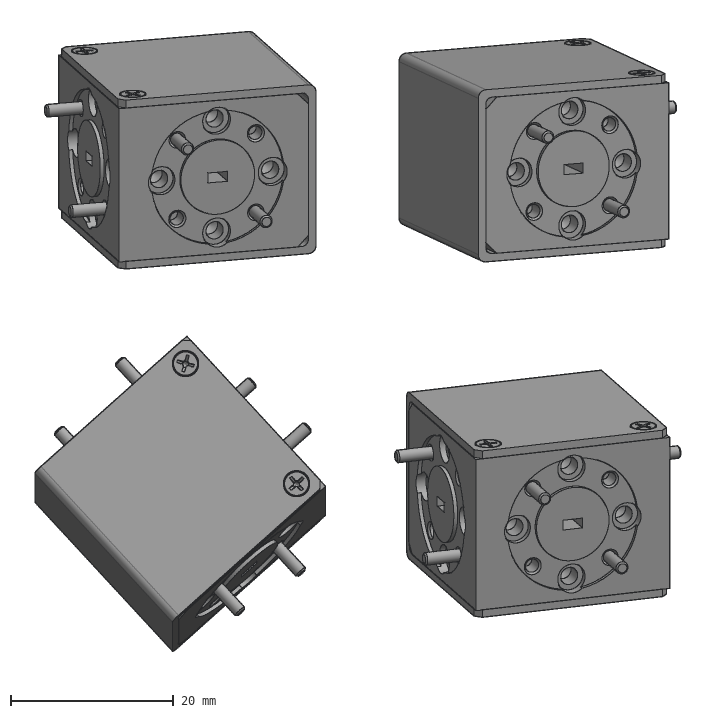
import cadquery as cq
import math

port_distance = 12.7
pin_tip_distance = 16.7
total_height = 21.6

sheet = 1.0
bracket_inset = 0.1
bend_outer_radius = 1.0
bend_inner_radius = 0.85
bracket_corner_chamfer = 0.8

block_height = total_height - 2 * sheet
block_back = port_distance - sheet
block_back_chamfer = 1.4

recess_diameter = 17.1
boss_diameter = 9.5
recess_depth = 0.5
hole_circle_radius = 7.15
counterbore_diameter = 3.57
counterbore_depth = 1.3
bolt_hole_diameter = 2.2
bolt_hole_depth = 3.67
drill_point_angle = 118.0
waveguide_width = 2.55
waveguide_height = 1.27
waveguide_depth = 6.68

pin_diameter = 1.57
pin_tip_chamfer = 0.2
pin_countersink_diameter = 2.1
dowel_hole_diameter = 1.7
dowel_countersink_diameter = 2.2
dowel_hole_depth = 2.67

screw_offset = 10.15
screw_seat_diameter = 3.25
screw_head_diameter = 2.97
screw_gap_depth = 0.35
cross_span = 2.15
cross_width = 0.35
cross_depth = 0.85
cross_core_diameter = 0.75
screw_angles = {-1: 0.0, 1: 32.0}

PORT_TURNS = (0, -90, 90)
recess_floor = recess_depth - port_distance


def port_plane(y):
    """Plane parallel to the -Y port: local x is X, local y is Z, normal is -Y."""
    return cq.Workplane("XZ", origin=(0, y, 0))


def bore(points, diameter, start_y, depth):
    """Cylinders running from start_y into the block."""
    return port_plane(start_y).pushPoints(points).circle(diameter / 2).extrude(-depth)


def inward_cone(point, mouth_diameter, end_diameter, start_y, depth):
    """Cone that narrows from start_y into the block."""
    mouth_center = cq.Vector(point[0], start_y, point[1])
    cone = cq.Solid.makeCone(mouth_diameter / 2, end_diameter / 2, depth, mouth_center, cq.Vector(0, 1, 0))
    return cq.Workplane(cone)


def drill_point(point, diameter, start_y):
    """Conical end of a drilled hole."""
    depth = diameter / 2 / math.tan(math.radians(drill_point_angle / 2))
    return inward_cone(point, diameter, 0, start_y, depth)


def countersink(point, mouth_diameter, hole_diameter):
    """45 degree countersink in the recess floor."""
    depth = (mouth_diameter - hole_diameter) / 2
    return inward_cone(point, mouth_diameter, hole_diameter, recess_floor, depth)


def turned(shape, angle):
    return shape.rotate((0, 0, 0), (0, 0, 1), angle)


diagonal = hole_circle_radius / math.sqrt(2)
bolt_points = [
    (hole_circle_radius, 0),
    (0, hole_circle_radius),
    (-hole_circle_radius, 0),
    (0, -hole_circle_radius),
]
pin_points = [(-diagonal, diagonal), (diagonal, -diagonal)]
dowel_points = [(diagonal, diagonal), (-diagonal, -diagonal)]


def make_block():
    depth = port_distance + block_back
    block = cq.Workplane("XY").box(2 * port_distance, depth, block_height)
    block = block.translate((0, (block_back - port_distance) / 2, 0))
    return block.faces(">Y").edges("|X").chamfer(block_back_chamfer)


def make_bracket():
    width = 2 * (port_distance - bracket_inset)
    length = 2 * port_distance - bracket_inset
    outer = cq.Workplane("XY").box(width, length, total_height)
    outer = outer.translate((0, bracket_inset / 2, 0))
    outer = outer.edges("|Z and <Y").chamfer(bracket_corner_chamfer)
    outer = outer.faces(">Y").edges("|X").fillet(bend_outer_radius)
    opening = cq.Workplane("XY").box(width, 2 * port_distance, block_height)
    opening = opening.faces(">Y").edges("|X").fillet(bend_inner_radius)
    return outer.cut(opening.translate((0, -sheet, 0)))


def make_port_cut():
    """Everything removed from the block at one port."""
    face = port_plane(-port_distance)
    cut = face.circle(recess_diameter / 2).circle(boss_diameter / 2).extrude(-recess_depth)
    cut = cut.union(bore(bolt_points, counterbore_diameter, -port_distance, counterbore_depth))
    cut = cut.union(bore(bolt_points, bolt_hole_diameter, -port_distance, bolt_hole_depth))
    cut = cut.union(bore(dowel_points, dowel_hole_diameter, recess_floor, dowel_hole_depth))
    for point in bolt_points:
        cut = cut.union(drill_point(point, bolt_hole_diameter, bolt_hole_depth - port_distance))
    for point in dowel_points:
        cut = cut.union(countersink(point, dowel_countersink_diameter, dowel_hole_diameter))
    for point in pin_points:
        cut = cut.union(countersink(point, pin_countersink_diameter, pin_diameter))
    waveguide = face.rect(waveguide_width, waveguide_height).extrude(-waveguide_depth)
    return cut.union(waveguide)


def make_pins():
    """The two dowel pins of one port, rooted just below the countersinks."""
    root = recess_floor + pin_countersink_diameter - pin_diameter
    pins = bore(pin_points, pin_diameter, -pin_tip_distance, root + pin_tip_distance)
    return pins.faces("<Y").edges().chamfer(pin_tip_chamfer)


def make_screw_cut(side):
    """Gap around one flush screw head and its cross recess."""
    head_top = total_height / 2
    top = cq.Workplane("XY", origin=(0, 0, head_top))
    gap = top.circle(screw_seat_diameter / 2).circle(screw_head_diameter / 2).extrude(-screw_gap_depth)
    core_radius = cross_core_diameter / 2

    slot_bottom = head_top - cross_depth
    slot_outline = [
        (-cross_span / 2, head_top),
        (cross_span / 2, head_top),
        (core_radius, slot_bottom),
        (-core_radius, slot_bottom),
    ]
    slot = cq.Workplane("XZ").polyline(slot_outline).close().extrude(cross_width / 2, both=True)
    slots = slot.union(turned(slot, 90))

    core = top.circle(core_radius).extrude(-cross_depth)
    tip = cq.Solid.makeCone(core_radius, 0, core_radius, cq.Vector(0, 0, slot_bottom), cq.Vector(0, 0, -1))
    cross = turned(slots, screw_angles[side]).union(core).union(cq.Workplane(tip))
    return gap.union(cross).translate((side * screw_offset, -screw_offset, 0))


result = make_block().union(make_bracket())
port_cut = make_port_cut()
pins = make_pins()
for turn in PORT_TURNS:
    result = result.cut(turned(port_cut, turn))
    result = result.union(turned(pins, turn))

pointed_hole_end = drill_point(dowel_points[0], dowel_hole_diameter, recess_floor + dowel_hole_depth)
result = result.cut(turned(pointed_hole_end, -90))

for side in screw_angles:
    result = result.cut(make_screw_cut(side))